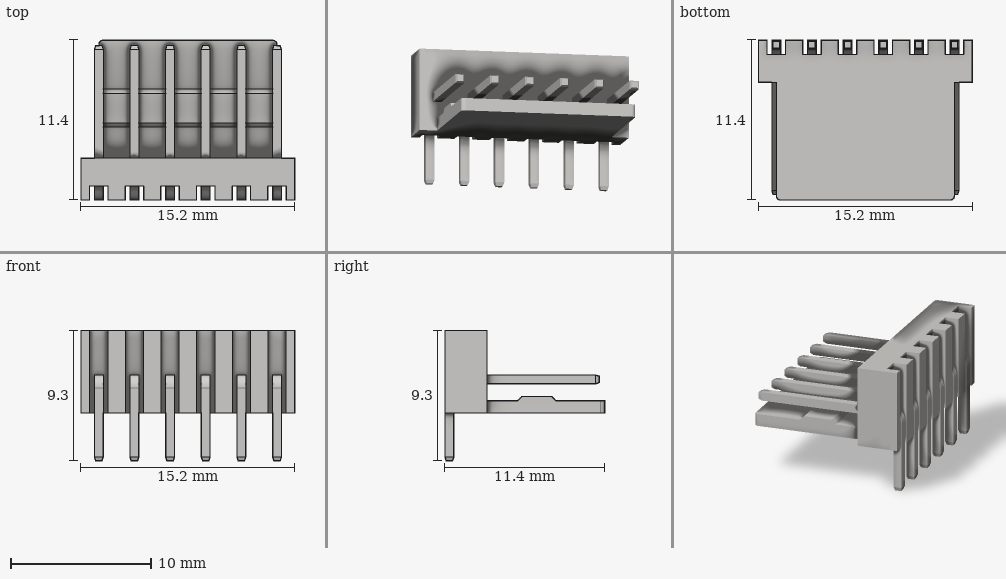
import cadquery as cq


pin_count = 6
row_length = 15.24
pitch = row_length / pin_count
first_pin_x = -pitch * (pin_count - 1) / 2
pin_positions = [first_pin_x + i * pitch for i in range(pin_count)]

block_depth = 3.0
block_height = 5.9
slot_width = 1.3
slot_depth = 1.0

plate_length = 8.4
plate_width = pitch * (pin_count - 1)
plate_thickness = 0.9
plate_corner_radius = 0.3
ridge_start = 2.2
ridge_base_length = 2.71
ridge_height = 0.3
ridge_ramp_length = ridge_height

pin_size = 0.64
pin_axis_height = 2.41
pin_reach = 8.0
leg_drop = 3.4
bend_outer_radius = 0.93
bend_inner_radius = bend_outer_radius - pin_size
tip_length = 0.27
tip_inset = 0.09


def make_block():
    """Rectangular block with a full-height slot in front of every pin."""
    block = cq.Workplane("XY").box(row_length, block_depth, block_height, centered=(True, False, False))
    slots = (
        cq.Workplane("XY")
        .pushPoints([(x, 0) for x in pin_positions])
        .box(slot_width, slot_depth, block_height, centered=(True, False, False))
    )
    return block.cut(slots)


def make_locking_plate():
    """Flat plate behind the block, with a ramped ridge across its upper face."""
    plate_end = block_depth + plate_length
    ridge_near = block_depth + ridge_start
    ridge_far = ridge_near + ridge_base_length
    ridge_top = plate_thickness + ridge_height
    profile = [
        (block_depth, 0),
        (plate_end, 0),
        (plate_end, plate_thickness),
        (ridge_far, plate_thickness),
        (ridge_far - ridge_ramp_length, ridge_top),
        (ridge_near + ridge_ramp_length, ridge_top),
        (ridge_near, plate_thickness),
        (block_depth, plate_thickness),
    ]
    plate = cq.Workplane("YZ").polyline(profile).close().extrude(plate_width / 2, both=True)
    return plate.edges("|Z and >Y").fillet(plate_corner_radius)


def make_tip(base_plane):
    """Tapered pin end that grows along the normal of the given plane."""
    end_size = pin_size - 2 * tip_inset
    return (
        cq.Workplane(base_plane)
        .rect(pin_size, pin_size)
        .workplane(offset=tip_length)
        .rect(end_size, end_size)
        .loft(ruled=True)
    )


def make_pin():
    """Square pin centred on X = 0, bent from the mating direction down into its leg."""
    top = pin_axis_height + pin_size / 2
    underside = top - pin_size
    shank_end = block_depth + pin_reach - tip_length
    leg_end = tip_length - leg_drop
    bend_z = top - bend_outer_radius
    shaft = (
        cq.Workplane("YZ")
        .moveTo(0, leg_end)
        .lineTo(0, bend_z)
        .radiusArc((bend_outer_radius, top), bend_outer_radius)
        .lineTo(shank_end, top)
        .lineTo(shank_end, underside)
        .lineTo(bend_outer_radius, underside)
        .radiusArc((pin_size, bend_z), -bend_inner_radius)
        .lineTo(pin_size, leg_end)
        .close()
        .extrude(pin_size / 2, both=True)
    )
    mating_tip = make_tip(cq.Plane((0, shank_end, pin_axis_height), xDir=(1, 0, 0), normal=(0, 1, 0)))
    leg_tip = make_tip(cq.Plane((0, pin_size / 2, leg_end), xDir=(1, 0, 0), normal=(0, 0, -1)))
    return shaft.union(mating_tip).union(leg_tip)


result = make_block().union(make_locking_plate())
pin = make_pin()
for x in pin_positions:
    result = result.union(pin.translate((x, 0, 0)))